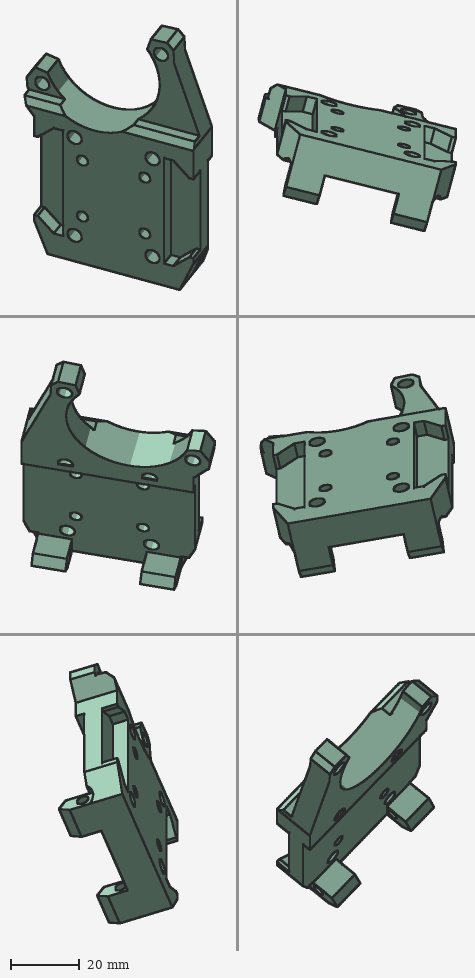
import cadquery as cq
import math


plate_left = -25.5
plate_right = 25.6
plate_bottom = -26.8
bottom_half_width = 21.2
bevel_top = -16.2
body_back = 10.2

arm_front = 5.3
upper_back = 12.85
upper_bottom = 14.25
ledge_top = 26.1
ledge_chamfer_depth = 2.1
ledge_chamfer_height = 1.85

seat_x = -6.3
seat_z = 40.5
seat_radius = 18.6
seat_start_angle = 201.0
seat_end_angle = 398.2
arm_hole_reach = 22.0
arm_hole_angle = 30.0
screw_diameter = 4.5

left_arm_corners = [(-30.15, 26.8), (-30.39, 30.2), (-27.6, 34.6)]
right_arm_corners = [(9.5, 55.9), (14.7, 56.17), (16.75, 54.1), (17.0, 49.4)]
left_arm_root_z = 21.15
right_arm_root_z = 24.6

screw_spacing_x = 25.0
screw_spacing_z = 35.0
small_diameter = 3.5
small_spacing = 20.0

pocket_depth = 4.75
pocket_inner_x = 16.2
pocket_shoulder_x = 19.2
pocket_mouth_x = 24.35
pocket_half_height = 18.85
pocket_mouth_half_height = 14.1

lug_width = 10.1
lug_height = 5.55
lug_tip_y = 19.64
lug_tip_rise = 2.15
lug_top_y = 17.55
lug_base_y = 16.3
pivot_y = 12.25
pivot_z = plate_bottom + 3.0
pivot_diameter = 3.5
lug_clearance_radius = 3.6

overrun = 2.0


def extrude_along_y(profile, y_start, y_end):
    """Extrude an XZ profile between two Y positions."""
    return profile.extrude(-(y_end - y_start)).translate((0, y_start, 0))


def seat_point(angle):
    """Point on the seat circle at an angle in degrees from +X."""
    turn = math.radians(angle)
    return (seat_x + seat_radius * math.cos(turn), seat_z + seat_radius * math.sin(turn))


def make_outline():
    """Front outline of plate, arms and motor seat."""
    return (
        cq.Workplane("XZ")
        .moveTo(-bottom_half_width, plate_bottom)
        .lineTo(plate_left, bevel_top)
        .lineTo(plate_left, left_arm_root_z)
        .polyline(left_arm_corners, includeCurrent=True)
        .lineTo(*seat_point(seat_start_angle))
        .threePointArc(
            seat_point((seat_start_angle + seat_end_angle) / 2),
            seat_point(seat_end_angle),
        )
        .polyline(right_arm_corners, includeCurrent=True)
        .lineTo(plate_right, right_arm_root_z)
        .lineTo(plate_right, bevel_top)
        .lineTo(bottom_half_width, plate_bottom)
        .close()
    )


def make_section():
    """Side section (Y, Z) that gives the outline its stepped thickness."""
    top = max(z for _, z in right_arm_corners) + overrun
    half_width = max(plate_right, -min(x for x, _ in left_arm_corners)) + overrun
    return (
        cq.Workplane("YZ")
        .polyline([
            (0, plate_bottom),
            (body_back, plate_bottom),
            (body_back, upper_bottom),
            (upper_back, upper_bottom),
            (upper_back, top),
            (arm_front, top),
            (arm_front, ledge_top),
            (ledge_chamfer_depth, ledge_top),
            (0, ledge_top - ledge_chamfer_height),
        ])
        .close()
        .extrude(half_width, both=True)
    )


def make_pocket(side):
    """Flared pocket open at one side edge; side is -1 (left) or +1 (right)."""
    open_x = plate_right + overrun
    upper = [
        (pocket_inner_x, pocket_half_height),
        (pocket_shoulder_x, pocket_half_height),
        (pocket_mouth_x, pocket_mouth_half_height),
        (open_x, pocket_mouth_half_height),
    ]
    lower = [(x, -z) for x, z in reversed(upper)]
    profile = cq.Workplane("XZ").polyline([(side * x, z) for x, z in upper + lower]).close()
    return extrude_along_y(profile, -overrun, pocket_depth)


def make_holes(centres, diameter):
    """Round tools along Y through the full thickness."""
    profile = cq.Workplane("XZ").pushPoints(centres).circle(diameter / 2)
    return extrude_along_y(profile, -overrun, upper_back + overrun)


def rectangle_corners(width, height):
    """Four (X, Z) corners of a rectangle centred on the origin."""
    return [(sx * width / 2, sz * height / 2) for sx in (-1, 1) for sz in (-1, 1)]


def arm_hole_centres():
    """Two (X, Z) screw positions on opposite sides of the motor seat."""
    turn = math.radians(arm_hole_angle)
    dx = arm_hole_reach * math.cos(turn)
    dz = arm_hole_reach * math.sin(turn)
    return [(seat_x + side * dx, seat_z + side * dz) for side in (-1, 1)]


def make_hole_ramp():
    """45 degree ramp left standing in the upper screw holes, behind the plate."""
    step = upper_back - body_back
    return (
        cq.Workplane("YZ")
        .polyline([
            (body_back, upper_bottom),
            (upper_back, upper_bottom + step),
            (upper_back, upper_bottom),
        ])
        .close()
        .extrude(screw_spacing_x / 2 + screw_diameter, both=True)
    )


def add_lug(body, side):
    """Clear the bevel beside one hinge lug, then add the lug."""
    lug_top = plate_bottom + lug_height
    lug_root_y = pivot_y - lug_clearance_radius
    clearance = (
        cq.Workplane("YZ", origin=(side * bottom_half_width, 0, 0))
        .center(pivot_y, pivot_z)
        .circle(lug_clearance_radius)
        .extrude(side * (plate_right - bottom_half_width + overrun))
    )
    lug = (
        cq.Workplane("YZ", origin=(side * bottom_half_width, 0, 0))
        .polyline([
            (lug_root_y, plate_bottom),
            (lug_base_y, plate_bottom),
            (lug_tip_y, plate_bottom + lug_tip_rise),
            (lug_top_y, lug_top),
            (lug_root_y, lug_top),
        ])
        .close()
        .extrude(-side * lug_width)
    )
    return body.cut(clearance).union(lug)


body = extrude_along_y(make_outline(), 0, upper_back).intersect(make_section())

screw_holes = make_holes(rectangle_corners(screw_spacing_x, screw_spacing_z), screw_diameter)
body = body.cut(screw_holes.cut(make_hole_ramp()))
body = body.cut(make_holes(rectangle_corners(small_spacing, small_spacing), small_diameter))
body = body.cut(make_holes(arm_hole_centres(), screw_diameter))

for side in (-1, 1):
    body = body.cut(make_pocket(side))
    body = add_lug(body, side)

pivot_hole = (
    cq.Workplane("YZ")
    .center(pivot_y, pivot_z)
    .circle(pivot_diameter / 2)
    .extrude(plate_right, both=True)
)
result = body.cut(pivot_hole)